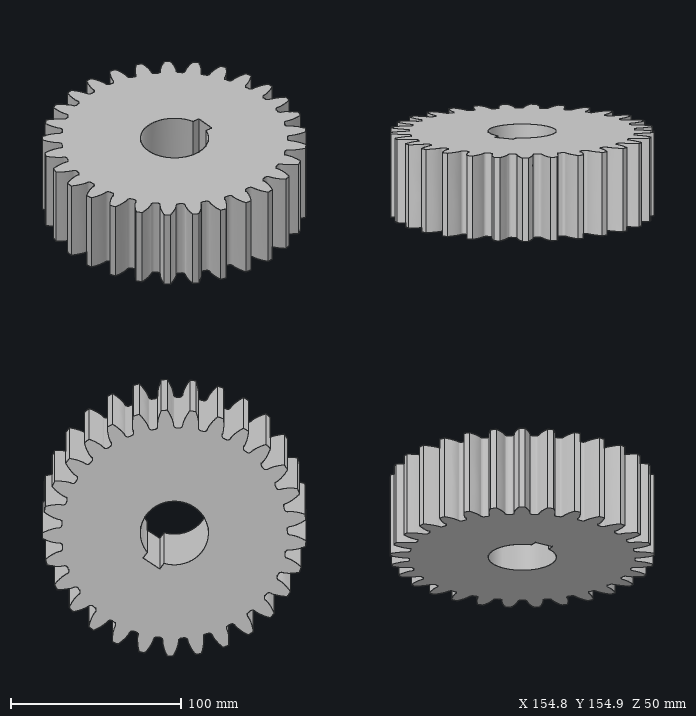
import cadquery as cq
import math

overall_length = 154.9
face_width = 50.0
bore_diameter = 40.0
keyway_width = 12.0
keyway_top = 23.4
tooth_count = 29
pressure_angle = math.radians(20)
addendum_factor = 1.0
dedendum_factor = 1.25
root_fillet = 1.9
flank_points = 8


def involute(angle):
    return math.tan(angle) - angle


pitch_step = 2 * math.pi / tooth_count
base_half_angle = pitch_step / 4 + involute(pressure_angle)
tip_ratio = (tooth_count + 2 * addendum_factor) / tooth_count
tip_pressure_angle = math.acos(math.cos(pressure_angle) / tip_ratio)
tip_half_angle = base_half_angle - involute(tip_pressure_angle)

first_tooth_angle = math.pi / 2 + base_half_angle

upper_corner_offset = base_half_angle - tip_half_angle
lower_corner_offset = pitch_step / 2 - base_half_angle - tip_half_angle
tip_radius = overall_length / (math.cos(upper_corner_offset) + math.cos(lower_corner_offset))

module = 2 * tip_radius / (tooth_count + 2 * addendum_factor)
pitch_radius = module * tooth_count / 2
base_radius = pitch_radius * math.cos(pressure_angle)
root_radius = pitch_radius - dedendum_factor * module

fillet_center_radius = root_radius + root_fillet
fillet_top_radius = math.sqrt(fillet_center_radius**2 - root_fillet**2)
fillet_angle = math.asin(root_fillet / fillet_center_radius)


def polar(radius, angle):
    return (radius * math.cos(angle), radius * math.sin(angle))


def flank(center_angle, side):
    """Involute points from base to tip; side is -1 or 1 about the tooth's centre line."""
    points = []
    for i in range(flank_points + 1):
        roll = math.tan(tip_pressure_angle) * i / flank_points
        local_pressure_angle = math.atan(roll)
        radius = base_radius / math.cos(local_pressure_angle)
        half_angle = base_half_angle - involute(local_pressure_angle)
        points.append(polar(radius, center_angle + side * half_angle))
    return points


def fillet(center_angle, side):
    """Start, middle and end of a root fillet, from the root circle up to the flank."""
    flank_angle = center_angle + side * base_half_angle
    root_angle = flank_angle + side * fillet_angle
    center_x, center_y = polar(fillet_center_radius, root_angle)
    root_direction = root_angle + math.pi
    flank_direction = flank_angle - side * math.pi / 2
    turn = math.remainder(flank_direction - root_direction, 2 * math.pi)
    offset_x, offset_y = polar(root_fillet, root_direction + turn / 2)
    middle = (center_x + offset_x, center_y + offset_y)
    return polar(root_radius, root_angle), middle, polar(fillet_top_radius, flank_angle)


def add_tooth(outline, center_angle):
    """Extend the outline over one tooth and along the root to the next tooth."""
    rising_flank = flank(center_angle, -1)
    falling_flank = flank(center_angle, 1)[::-1]
    _, rising_middle, rising_top = fillet(center_angle, -1)
    falling_bottom, falling_middle, falling_top = fillet(center_angle, 1)
    next_root_start, _, _ = fillet(center_angle + pitch_step, -1)
    return (
        outline.threePointArc(rising_middle, rising_top)
        .lineTo(*rising_flank[0])
        .spline(rising_flank[1:], includeCurrent=True)
        .threePointArc(polar(tip_radius, center_angle), falling_flank[0])
        .spline(falling_flank[1:], includeCurrent=True)
        .lineTo(*falling_top)
        .threePointArc(falling_middle, falling_bottom)
        .threePointArc(polar(root_radius, center_angle + pitch_step / 2), next_root_start)
    )


outline_start, _, _ = fillet(first_tooth_angle, -1)
outline = cq.Workplane("XY").moveTo(*outline_start)
for tooth in range(tooth_count):
    outline = add_tooth(outline, first_tooth_angle + tooth * pitch_step)
gear = outline.close().extrude(face_width)

bore = cq.Workplane("XY").circle(bore_diameter / 2).extrude(face_width)
keyway = cq.Workplane("XY").center(0, keyway_top / 2).rect(keyway_width, keyway_top).extrude(face_width)
result = gear.cut(bore.union(keyway))